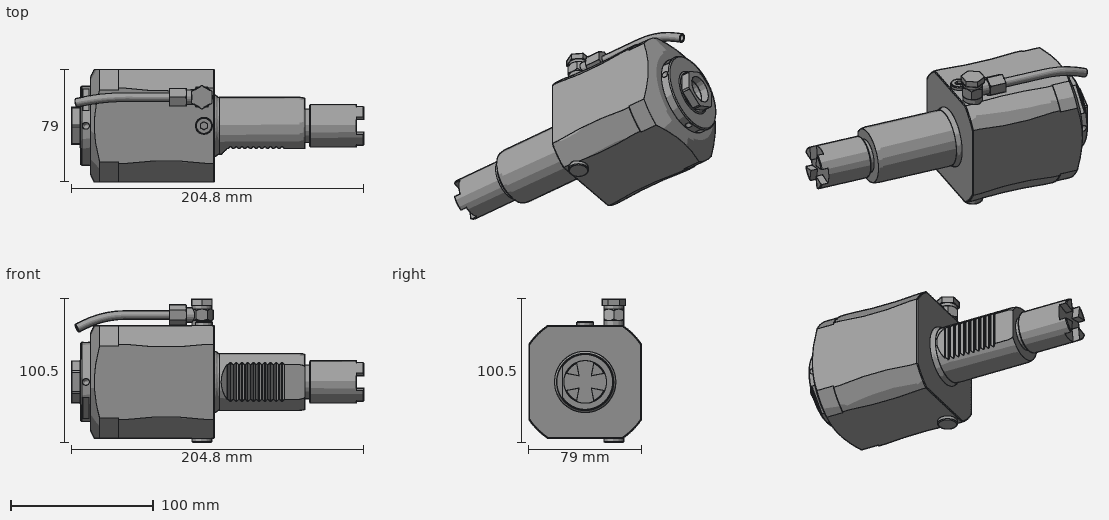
import cadquery as cq
import math


TOTAL_LENGTH = 204.8
OVERLAP = 1.0
HEX_SIDES = 6
FULL_TURN = 360
QUARTERS = 4
QUARTER_TURN = FULL_TURN / QUARTERS

HEAD_SIDE = 79.0
HEAD_FRONT = 13.1
HEAD_BACK = 100.2
HEAD_BACK_CHAMFER = 0.6
FACE_RADIUS = 33.4
FACE_LIP_RADIUS = 34.8
FACE_LIP = 0.5
CONE_END = 19.7
CORNER_RADIUS_FRONT = 47.0
CORNER_RADIUS = 47.5
CORNER_STEP = 32.8
WAIST_RADIUS = 46.5
WAIST_START = 37.9
WAIST_END = 94.8

COLLAR_FRONT = 6.4
COLLAR_RADIUS = 27.9
COLLAR_CHAMFER = 0.8
COLLAR_HOLE_RADIUS = 2.5
COLLAR_HOLE_X = 10.0
WRENCH_FLAT_START = 8.0
WRENCH_FLAT_WIDTH = 4.3
WRENCH_FLAT_DISTANCE = 25.8
WRENCH_FLAT_ANGLES = (45, 225)

FLANGE_RADIUS = 21.5
SHANK_RADIUS = 20.0
SHANK_ROOT_RADIUS = 19.9
SHANK_START = 103.9
SHANK_TAPER_START = 160.0
SHANK_END = 163.5
SHANK_TAPER_RADIUS = 19.7
SHANK_END_RADIUS = 19.3
SHANK_END_CHAMFER = 0.8
FLAT_DISTANCE = 16.0
SERRATION_COUNT = 10
SERRATION_DEPTH = 1.2
SERRATION_TOP = 3.3
SERRATION_BOTTOM = 0.6
SERRATION_FIRST = 111.5
SERRATION_LAST = 147.5
SERRATION_PITCH = (SERRATION_LAST - SERRATION_FIRST) / (SERRATION_COUNT - 1)
RAMP_FOOT = 109.0

FITTING_X = 91.4
FITTING_Y = 20.0
POST_RADIUS = 7.0
POST_TOP = 53.5
BLOCK_BOTTOM = 43.0
BLOCK_TOP = 51.0
BLOCK_FLATS = 14.0
CAP_TOP = 58.0
CAP_FLATS = 14.3
PIPE_Z = 47.0
PIPE_RADIUS = 3.0
BRANCH_RADIUS = 5.1
NUT_START = 68.6
NUT_END = 80.5
NUT_FLATS = 12.5
NUT_CHAMFER = 0.6
PIPE_BEND_X = 37.9
PIPE_BEND_RADIUS = 61.5
PIPE_BEND_ANGLE = 29.0
PIPE_TILT = 22.5
PIPE_TAIL = 5.0
PIPE_BORE_RADIUS = 2.0

BOTTOM_PLUG_Z = -42.5
PLUG_CHAMFER = 0.6
SCREW_X = 92.8
SCREW_RADIUS = 6.0
SCREW_HEIGHT = 2.7
SCREW_SOCKET_FLATS = 5.0
SCREW_SOCKET_DEPTH = 2.0

NOSE_RADIUS = 16.2
NOSE_FACE = 6.0
NOSE_FACE_RADIUS = 15.0
NOSE_HEX_FLATS = 26.2
NOSE_HEX_RADIUS = 14.7
NOSE_BORE_RADIUS = 9.2
NOSE_BORE_DEPTH = 12.3
NOSE_COUNTERBORE_RADIUS = 9.6
NOSE_COUNTERBORE_DEPTH = 5.7
SHAFT_RADIUS = 11.9
COUPLING_START = 166.7
COUPLING_RADIUS = 15.0
COUPLING_CHAMFER = 0.8
DOG_START = 199.7
DOG_TIP_CHAMFER = 0.6
SLOT_HALF_WIDTH_INNER = 4.3
SLOT_HALF_WIDTH_OUTER = 6.4

HALF_SIDE = HEAD_SIDE / 2


def turned(points):
    """Solid turned about the X axis from (x, radius) points."""
    return cq.Workplane("XY").polyline(points).close().revolve(FULL_TURN, (0, 0), (1, 0))


def rod(start, end, radius):
    """Round bar along the X axis."""
    return cq.Workplane("YZ").workplane(offset=start).circle(radius).extrude(end - start)


def upright(x, y, bottom, top, radius):
    """Round post along Z."""
    return (
        cq.Workplane("XY", origin=(x, y, bottom))
        .circle(radius)
        .extrude(top - bottom)
    )


def corner_diameter(flats):
    """Corner-to-corner diameter of a hexagon with the given width across flats."""
    return flats / math.cos(math.pi / HEX_SIDES)


def make_head():
    """Square block whose corners and front are turned to a waisted profile."""
    block = cq.Workplane("XY").box(
        HEAD_BACK - HEAD_FRONT, HEAD_SIDE, HEAD_SIDE
    ).translate(((HEAD_FRONT + HEAD_BACK) / 2, 0, 0))
    envelope = (
        cq.Workplane("XY")
        .moveTo(HEAD_FRONT, 0)
        .lineTo(HEAD_FRONT, FACE_RADIUS)
        .lineTo(HEAD_FRONT + FACE_LIP, FACE_LIP_RADIUS)
        .lineTo(CONE_END, CORNER_RADIUS_FRONT)
        .lineTo(CORNER_STEP, CORNER_RADIUS_FRONT)
        .lineTo(CORNER_STEP, CORNER_RADIUS)
        .lineTo(WAIST_START, CORNER_RADIUS)
        .threePointArc(((WAIST_START + WAIST_END) / 2, WAIST_RADIUS), (WAIST_END, CORNER_RADIUS))
        .lineTo(HEAD_BACK, CORNER_RADIUS)
        .lineTo(HEAD_BACK, 0)
        .close()
        .revolve(FULL_TURN, (0, 0), (1, 0))
    )
    return block.intersect(envelope).faces(">X").chamfer(HEAD_BACK_CHAMFER)


def make_collar():
    """Round collar with four 90 degree conical holes and two wrench flats."""
    collar = (
        rod(COLLAR_FRONT, HEAD_FRONT + OVERLAP, COLLAR_RADIUS)
        .faces("<X")
        .chamfer(COLLAR_CHAMFER)
    )
    hole = (
        cq.Workplane("XZ", origin=(COLLAR_HOLE_X, 0, 0))
        .moveTo(0, COLLAR_RADIUS - COLLAR_HOLE_RADIUS)
        .lineTo(COLLAR_HOLE_RADIUS, COLLAR_RADIUS)
        .lineTo(0, COLLAR_RADIUS)
        .close()
        .revolve(FULL_TURN, (0, 0), (0, 1))
    )
    for quarter in range(QUARTERS):
        collar = collar.cut(hole.rotate((0, 0, 0), (1, 0, 0), QUARTER_TURN * quarter))
    flat = cq.Workplane("XY").box(
        WRENCH_FLAT_WIDTH, 2 * COLLAR_RADIUS, COLLAR_RADIUS, centered=(False, True, False)
    ).translate((WRENCH_FLAT_START, 0, WRENCH_FLAT_DISTANCE))
    for angle in WRENCH_FLAT_ANGLES:
        collar = collar.cut(flat.rotate((0, 0, 0), (1, 0, 0), -angle))
    return collar


def make_shank():
    """Round shank with a serrated clamping flat on its -Y side."""
    blend_middle = (
        (HEAD_BACK + SHANK_START) / 2,
        (FLANGE_RADIUS + SHANK_ROOT_RADIUS) / 2,
    )
    shank = (
        cq.Workplane("XY")
        .moveTo(HEAD_BACK - OVERLAP, 0)
        .lineTo(HEAD_BACK - OVERLAP, FLANGE_RADIUS)
        .lineTo(HEAD_BACK, FLANGE_RADIUS)
        .tangentArcPoint(blend_middle, relative=False)
        .tangentArcPoint((SHANK_START, SHANK_ROOT_RADIUS), relative=False)
        .lineTo(SHANK_START, SHANK_RADIUS)
        .lineTo(SHANK_TAPER_START, SHANK_RADIUS)
        .lineTo(SHANK_END - SHANK_END_CHAMFER, SHANK_TAPER_RADIUS)
        .lineTo(SHANK_END, SHANK_END_RADIUS)
        .lineTo(SHANK_END, 0)
        .close()
        .revolve(FULL_TURN, (0, 0), (1, 0))
    )
    ramp_height = SHANK_RADIUS - FLAT_DISTANCE + OVERLAP
    clearance = (
        cq.Workplane("XY")
        .moveTo(RAMP_FOOT, -FLAT_DISTANCE)
        .lineTo(RAMP_FOOT - ramp_height, -FLAT_DISTANCE - ramp_height)
        .lineTo(SHANK_END + OVERLAP, -FLAT_DISTANCE - ramp_height)
        .lineTo(SHANK_END + OVERLAP, -FLAT_DISTANCE)
        .close()
        .extrude(SHANK_RADIUS, both=True)
    )
    shank = shank.cut(clearance)
    for index in range(SERRATION_COUNT):
        shank = shank.cut(make_serration(SERRATION_FIRST + index * SERRATION_PITCH))
    return shank


def make_serration(x):
    """Flat-bottomed V groove across the clamping flat."""
    half_bottom = SERRATION_BOTTOM / 2
    half_top = SERRATION_TOP / 2
    top = -FLAT_DISTANCE
    bottom = top + SERRATION_DEPTH
    return (
        cq.Workplane("XY")
        .polyline([
            (x - half_top, top),
            (x - half_bottom, bottom),
            (x + half_bottom, bottom),
            (x + half_top, top),
        ])
        .close()
        .extrude(SHANK_RADIUS, both=True)
    )


def make_fitting_post():
    """Banjo post: round stem, hexagon block with trimmed corners and hexagon cap."""
    post = upright(FITTING_X, FITTING_Y, HALF_SIDE - OVERLAP, POST_TOP, POST_RADIUS)
    block = (
        cq.Workplane("XY", origin=(FITTING_X, FITTING_Y, BLOCK_BOTTOM))
        .polygon(HEX_SIDES, corner_diameter(BLOCK_FLATS))
        .extrude(BLOCK_TOP - BLOCK_BOTTOM)
    )
    corner_radius = corner_diameter(BLOCK_FLATS) / 2
    trim = upright(FITTING_X, FITTING_Y, BLOCK_BOTTOM, BLOCK_TOP, corner_radius)
    trim = trim.edges().chamfer(corner_radius - POST_RADIUS)
    cap = (
        cq.Workplane("XY", origin=(FITTING_X, FITTING_Y, POST_TOP))
        .transformed(rotate=(0, 0, QUARTER_TURN))
        .polygon(HEX_SIDES, corner_diameter(CAP_FLATS))
        .extrude(CAP_TOP - POST_TOP)
    )
    return post.union(block.intersect(trim)).union(cap)


def make_coolant_pipe():
    """Branch, union nut and bent pipe, running from the post towards -X."""
    branch = rod(NUT_END - OVERLAP, FITTING_X, BRANCH_RADIUS).translate((0, FITTING_Y, PIPE_Z))
    nut = (
        cq.Workplane("YZ", origin=(NUT_START, FITTING_Y, PIPE_Z))
        .transformed(rotate=(0, 0, QUARTER_TURN))
        .polygon(HEX_SIDES, corner_diameter(NUT_FLATS))
        .extrude(NUT_END - NUT_START)
    )
    corner_radius = corner_diameter(NUT_FLATS) / 2
    trim = rod(NUT_START, NUT_END, corner_radius).faces(">X").chamfer(NUT_CHAMFER)
    nut = nut.intersect(trim.translate((0, FITTING_Y, PIPE_Z)))

    tilt = math.radians(PIPE_TILT)
    bend = math.radians(PIPE_BEND_ANGLE)
    bend_plane = cq.Plane(
        origin=(NUT_START + OVERLAP, FITTING_Y, PIPE_Z),
        xDir=(-1, 0, 0),
        normal=(0, -math.cos(tilt), math.sin(tilt)),
    )
    straight = NUT_START + OVERLAP - PIPE_BEND_X

    def on_bend(angle):
        return (
            straight + PIPE_BEND_RADIUS * math.sin(angle),
            PIPE_BEND_RADIUS * (1 - math.cos(angle)),
        )

    bend_end = on_bend(bend)
    tail_end = (
        bend_end[0] + PIPE_TAIL * math.cos(bend),
        bend_end[1] + PIPE_TAIL * math.sin(bend),
    )
    path = (
        cq.Workplane(bend_plane)
        .lineTo(straight, 0)
        .threePointArc(on_bend(bend / 2), bend_end)
        .lineTo(*tail_end)
    )
    pipe = (
        cq.Workplane("YZ", origin=(NUT_START + OVERLAP, FITTING_Y, PIPE_Z))
        .circle(PIPE_RADIUS)
        .sweep(path)
    )
    pipe = (
        pipe.faces("<X")
        .workplane(centerOption="CenterOfMass")
        .circle(PIPE_BORE_RADIUS)
        .cutBlind(-PIPE_TAIL)
    )
    return branch.union(nut).union(pipe)


def make_bottom_plug():
    """Round plug under the fitting post."""
    plug = upright(FITTING_X, FITTING_Y, BOTTOM_PLUG_Z, OVERLAP - HALF_SIDE, POST_RADIUS)
    return plug.faces("<Z").chamfer(PLUG_CHAMFER)


def make_screw_head():
    """Low cylindrical screw head with a hexagon socket on the top of the head."""
    top = HALF_SIDE + SCREW_HEIGHT
    head = upright(SCREW_X, 0, HALF_SIDE - OVERLAP, top, SCREW_RADIUS)
    head = head.faces(">Z").chamfer(PLUG_CHAMFER)
    socket = (
        cq.Workplane("XY", origin=(SCREW_X, 0, top - SCREW_SOCKET_DEPTH))
        .transformed(rotate=(0, 0, QUARTER_TURN))
        .polygon(HEX_SIDES, corner_diameter(SCREW_SOCKET_FLATS))
        .extrude(SCREW_SOCKET_DEPTH)
    )
    return head.cut(socket)


def make_spindle_bore():
    """Stepped bore of the holder."""
    return turned([
        (COLLAR_FRONT, 0),
        (COLLAR_FRONT, NOSE_RADIUS),
        (HEAD_FRONT, NOSE_RADIUS),
        (HEAD_FRONT, SHAFT_RADIUS),
        (SHANK_END, SHAFT_RADIUS),
        (SHANK_END, 0),
    ])


def make_holder():
    """Head with everything fixed to it, bored through for the spindle."""
    holder = make_head()
    for piece in (
        make_collar(),
        make_shank(),
        make_fitting_post(),
        make_coolant_pipe(),
        make_bottom_plug(),
        make_screw_head(),
    ):
        holder = holder.union(piece)
    return holder.cut(make_spindle_bore())


def make_coupling_slots():
    """Cross slots that flare outwards and leave four dogs on the coupling end."""
    flare = (
        (SLOT_HALF_WIDTH_OUTER - SLOT_HALF_WIDTH_INNER)
        / (COUPLING_RADIUS - SLOT_HALF_WIDTH_INNER)
    )
    reach = COUPLING_RADIUS + OVERLAP
    reach_half_width = SLOT_HALF_WIDTH_INNER + flare * (reach - SLOT_HALF_WIDTH_INNER)
    slots = (
        cq.Workplane("YZ")
        .workplane(offset=DOG_START)
        .rect(2 * SLOT_HALF_WIDTH_INNER, 2 * SLOT_HALF_WIDTH_INNER)
        .extrude(TOTAL_LENGTH - DOG_START)
    )
    arm = (
        cq.Workplane("YZ")
        .workplane(offset=DOG_START)
        .polyline([
            (SLOT_HALF_WIDTH_INNER, -SLOT_HALF_WIDTH_INNER),
            (reach, -reach_half_width),
            (reach, reach_half_width),
            (SLOT_HALF_WIDTH_INNER, SLOT_HALF_WIDTH_INNER),
        ])
        .close()
        .extrude(TOTAL_LENGTH - DOG_START)
    )
    for quarter in range(QUARTERS):
        slots = slots.union(arm.rotate((0, 0, 0), (1, 0, 0), QUARTER_TURN * quarter))
    return slots


def make_spindle():
    """Hexagon nose, shaft and drive coupling in one piece."""
    nose_hex = (
        cq.Workplane("YZ")
        .transformed(rotate=(0, 0, QUARTER_TURN))
        .polygon(HEX_SIDES, corner_diameter(NOSE_HEX_FLATS))
        .extrude(COLLAR_FRONT + OVERLAP)
        .intersect(rod(0, COLLAR_FRONT + OVERLAP, NOSE_HEX_RADIUS))
    )
    shaft = turned([
        (NOSE_FACE, 0),
        (NOSE_FACE, NOSE_FACE_RADIUS),
        (COLLAR_FRONT, NOSE_RADIUS),
        (HEAD_FRONT, NOSE_RADIUS),
        (HEAD_FRONT, SHAFT_RADIUS),
        (COUPLING_START, SHAFT_RADIUS),
        (COUPLING_START, COUPLING_RADIUS - COUPLING_CHAMFER),
        (COUPLING_START + COUPLING_CHAMFER, COUPLING_RADIUS),
        (TOTAL_LENGTH - DOG_TIP_CHAMFER, COUPLING_RADIUS),
        (TOTAL_LENGTH, COUPLING_RADIUS - DOG_TIP_CHAMFER),
        (TOTAL_LENGTH, 0),
    ])
    spindle = nose_hex.union(shaft)
    spindle = spindle.cut(rod(0, NOSE_BORE_DEPTH, NOSE_BORE_RADIUS))
    spindle = spindle.cut(rod(0, NOSE_COUNTERBORE_DEPTH, NOSE_COUNTERBORE_RADIUS))
    return spindle.cut(make_coupling_slots())


holder = make_holder()
spindle = make_spindle()

result = cq.Compound.makeCompound([holder.val(), spindle.val()])